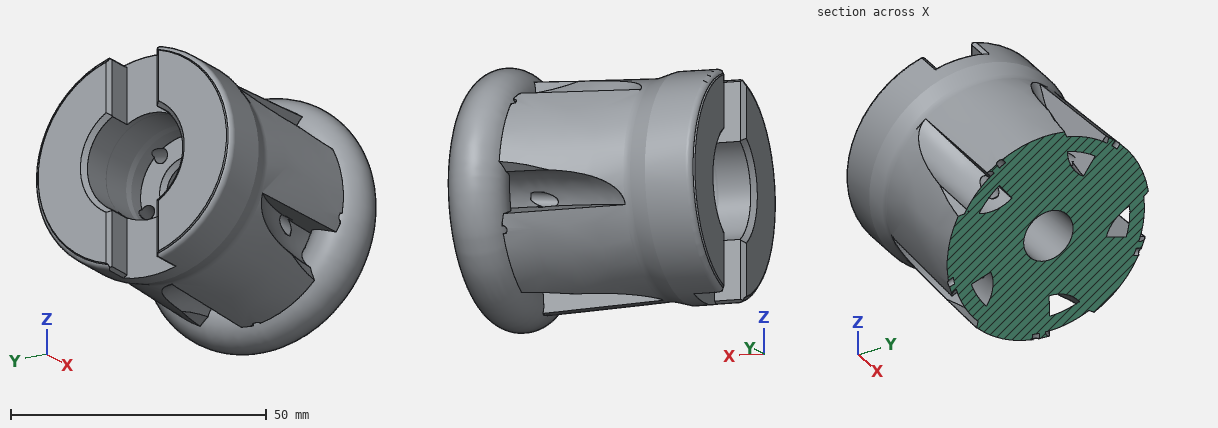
import cadquery as cq
import math


body_length = 52.0
collar_radius = 46.0 / 2
collar_end = 10.0
neck_corner = 14.2
neck_slope = 15.0
neck_blend_radius = 5.0
land_slope = 2.2

rim_length = 1.5
rim_lip_length = 0.3
rim_lip_radius = 22.1
face_radius = 21.9
rim_round_radius = 1.25

ring_tube_radius = 6.0
ring_centre_radius = 20.0
ring_centre_x = body_length - ring_tube_radius

bore_radius = 22.15 / 2
relief_radius = 22.3 / 2
guide_radius = 21.85 / 2
relief_start = 7.7
relief_end = 15.2
relief_front_taper = 0.4
relief_rear_taper = 1.5
bore_depth = 20.0
bore_chamfer = 1.0
through_radius = 11.0 / 2
through_chamfer = 1.0

slot_width = 10.5
slot_depth = 6.3
slot_chamfer = 0.85
slot_end_chamfer_drop = 0.5

pocket_count = 5
pocket_pitch = 360.0 / pocket_count
first_wall_angle = 55.0
pocket_sweep_radius = 61.2
pocket_bottom_radius = 13.45
pocket_corner_radius = 8.3
pocket_floor_width = 7.8
pocket_shoulder_slope = 32.0
pocket_sweep_angle = 40.0
pocket_top = 30.0

seat_centre_radius = 21.5
seat_mouth_radius = 6.05
seat_base_radius = 5.45
seat_taper_depth = 2.0
seat_depth = 3.2
undercut_radius = 0.8

coolant_radius = 3.0 / 2
coolant_start = (bore_depth, 9.9, -0.6)
coolant_exit = (34.6, 14.8, 1.35)
coolant_overrun = 2.5


def turned(profile):
    """Revolve an XY profile about the X axis."""
    return profile.revolve(360, (0, 0, 0), (1, 0, 0))


def make_body():
    """Collar, neck and slightly flared land as one turned solid."""
    neck_tan = math.tan(math.radians(neck_slope))
    land_tan = math.tan(math.radians(land_slope))
    neck_radius = collar_radius - (neck_corner - collar_end) * neck_tan
    half_turn = math.radians(neck_slope + land_slope) / 2
    tangent_length = neck_blend_radius * math.tan(half_turn)
    before = tangent_length * math.cos(math.radians(neck_slope))
    after = tangent_length * math.cos(math.radians(land_slope))
    land_end_radius = neck_radius + (ring_centre_x - neck_corner) * land_tan
    profile = (
        cq.Workplane("XY")
        .lineTo(0, face_radius)
        .lineTo(rim_lip_length, rim_lip_radius)
        .radiusArc((rim_length, collar_radius), rim_round_radius)
        .lineTo(collar_end, collar_radius)
        .lineTo(neck_corner - before, neck_radius + before * neck_tan)
        .tangentArcPoint((neck_corner + after, neck_radius + after * land_tan), relative=False)
        .lineTo(ring_centre_x, land_end_radius)
        .lineTo(ring_centre_x, 0)
        .close()
    )
    return turned(profile)


def make_ring():
    """Rear ring, filled inside by a disc that carries the flat rear face."""
    tube = turned(
        cq.Workplane("XY")
        .moveTo(ring_centre_x, ring_centre_radius)
        .circle(ring_tube_radius)
    )
    disc = (
        cq.Workplane("YZ", origin=(ring_centre_x, 0, 0))
        .circle(ring_centre_radius)
        .extrude(ring_tube_radius)
    )
    return tube.union(disc)


def make_bore():
    """Chamfered bore with a relieved middle, and the chamfered through hole behind it."""
    profile = (
        cq.Workplane("XY")
        .lineTo(0, bore_radius + bore_chamfer)
        .lineTo(bore_chamfer, bore_radius)
        .lineTo(relief_start, bore_radius)
        .lineTo(relief_start + relief_front_taper, relief_radius)
        .lineTo(relief_end, relief_radius)
        .lineTo(relief_end + relief_rear_taper, guide_radius)
        .lineTo(bore_depth, guide_radius)
        .lineTo(bore_depth, through_radius + through_chamfer)
        .lineTo(bore_depth + through_chamfer, through_radius)
        .lineTo(body_length, through_radius)
        .lineTo(body_length, 0)
        .close()
    )
    return turned(profile)


def make_slot():
    """Driving slot along Z with chamfered mouth and chamfered ends at the collar."""
    half = slot_width / 2
    mouth = half + slot_chamfer
    slot = (
        cq.Workplane("XY")
        .moveTo(0, -mouth)
        .lineTo(slot_chamfer, -half)
        .lineTo(slot_depth, -half)
        .lineTo(slot_depth, half)
        .lineTo(slot_chamfer, half)
        .lineTo(0, mouth)
        .close()
        .extrude(collar_radius, both=True)
    )
    end_outer = math.sqrt(collar_radius**2 - mouth**2)
    end_inner = end_outer - slot_end_chamfer_drop
    end_flare = (
        cq.Workplane("YZ")
        .moveTo(-half, end_inner)
        .lineTo(half, end_inner)
        .lineTo(mouth, end_outer)
        .lineTo(mouth, collar_radius)
        .lineTo(-mouth, collar_radius)
        .lineTo(-mouth, end_outer)
        .close()
        .extrude(slot_depth)
    )
    return slot.union(end_flare).union(end_flare.mirror("XY"))


def make_pocket():
    """Pocket with its wall on the XY plane: a section swept round an axis parallel to Z."""
    def corner_height(sideways):
        return pocket_corner_radius - math.sqrt(pocket_corner_radius**2 - sideways**2)

    edge_radius = pocket_bottom_radius + corner_height(pocket_floor_width)
    shoulder_run = (pocket_top - edge_radius) / math.tan(math.radians(pocket_shoulder_slope))
    middle = pocket_floor_width / 2
    axis_radius = pocket_bottom_radius + pocket_sweep_radius
    return (
        cq.Workplane("YZ", origin=(ring_centre_x, 0, 0))
        .moveTo(pocket_bottom_radius, 0)
        .threePointArc((pocket_bottom_radius + corner_height(middle), middle),
                       (edge_radius, pocket_floor_width))
        .lineTo(pocket_top, pocket_floor_width + shoulder_run)
        .lineTo(pocket_top, 0)
        .close()
        .revolve(pocket_sweep_angle, (axis_radius, 0, 0), (axis_radius, -1, 0))
    )


def make_seat():
    """Tapered round seat behind the pocket wall on the XY plane, with its base undercut."""
    seat_frame = cq.Workplane("XZ", origin=(ring_centre_x, seat_centre_radius, 0))
    seat = (
        seat_frame
        .lineTo(seat_mouth_radius, 0)
        .lineTo(seat_base_radius, -seat_taper_depth)
        .lineTo(seat_base_radius, -seat_depth)
        .lineTo(0, -seat_depth)
        .close()
        .revolve(360, (0, 0, 0), (0, 1, 0))
    )
    undercut = cq.Workplane("XY").add(
        cq.Solid.makeTorus(
            seat_base_radius,
            undercut_radius,
            cq.Vector(ring_centre_x, seat_centre_radius, -seat_depth),
            cq.Vector(0, 0, 1),
        )
    )
    return seat.union(undercut)


def make_coolant_hole():
    """Inclined drilling that starts on the bore floor and breaks through the pocket floor."""
    start = cq.Vector(*coolant_start)
    path = cq.Vector(*coolant_exit) - start
    direction = path.normalized()
    lead_in = direction * coolant_overrun
    length = path.Length + 2 * coolant_overrun
    return cq.Workplane("XY").add(
        cq.Solid.makeCylinder(coolant_radius, length, start - lead_in, direction)
    )


def cut_round_axis(solid, tool):
    """Cut one copy of the tool at every pocket."""
    for index in range(pocket_count):
        angle = first_wall_angle + index * pocket_pitch
        solid = solid.cut(tool.rotate((0, 0, 0), (1, 0, 0), angle))
    return solid


body = make_body()
body = cut_round_axis(body, make_pocket())
body = cut_round_axis(body, make_seat())
body = body.union(make_ring())
body = body.cut(make_bore()).cut(make_slot())
result = cut_round_axis(body, make_coolant_hole())